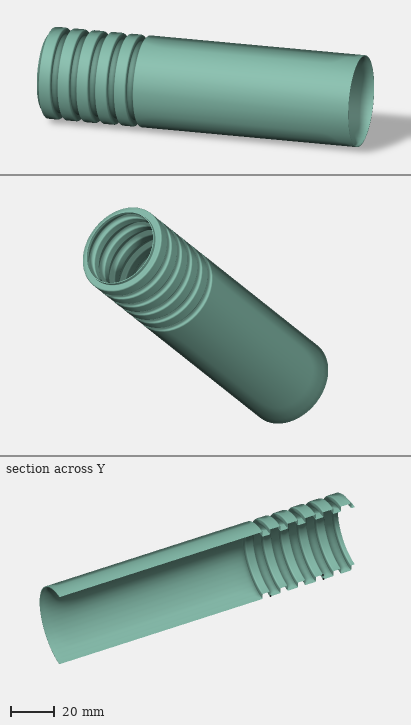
import cadquery as cq

length = 150.0
crest_diameter = 42.5
valley_diameter = 36.3
wall = 0.38
crest_count = 5
pitch = 9.0
first_crest_start = 1.6
crest_width = 5.5
inside_bend_radius = 0.22

outside_bend_radius = inside_bend_radius + wall
crest_radius = crest_diameter / 2
valley_radius = valley_diameter / 2
body_start = first_crest_start + crest_count * pitch
crest_starts = [first_crest_start + i * pitch for i in range(crest_count)]


def cylinder(start, end, radius):
    """Solid cylinder about the X axis between two X positions."""
    return cq.Workplane("YZ").workplane(offset=start).circle(radius).extrude(end - start)


def corrugated_solid(inset, crest_bend, valley_bend):
    """Solid following the corrugated profile, set in from the outer surface."""
    solid = cylinder(0, length, valley_radius - inset)
    for start in crest_starts:
        crest_end = start + crest_width
        solid = solid.union(cylinder(start + inset, crest_end - inset, crest_radius - inset))
    solid = solid.union(cylinder(body_start + inset, length, crest_radius - inset))

    crest_edge = cq.selectors.RadiusNthSelector(-1)
    valley_edge = cq.selectors.RadiusNthSelector(0)
    crest_edges = solid.faces("|X").faces("not(<X or >X)").edges(crest_edge)
    solid = crest_edges.fillet(crest_bend)
    valley_edges = solid.faces("|X").faces("not(<X or >X)").edges(valley_edge)
    return valley_edges.fillet(valley_bend)


outside = corrugated_solid(0, outside_bend_radius, inside_bend_radius)
bore = corrugated_solid(wall, inside_bend_radius, outside_bend_radius)
result = outside.cut(bore)